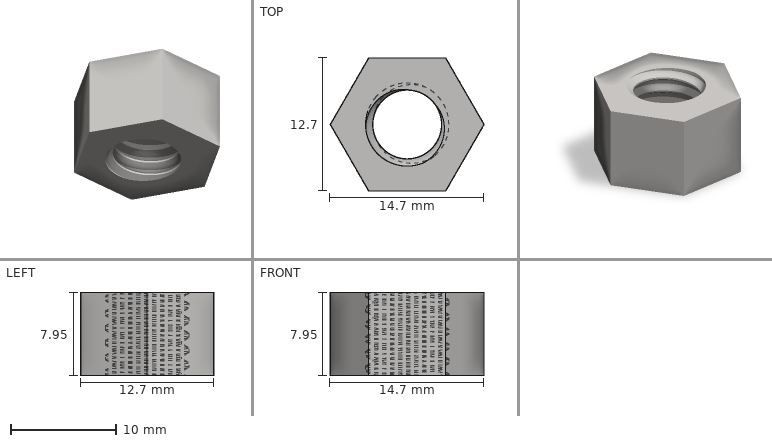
import cadquery as cq
import math

corner_width = 14.66
height = 7.95

minor_diameter = 6.54
major_diameter = 7.93
pitch = 1.41
crest_flat = pitch / 8
flank_slope = math.tan(math.radians(30))
top_crest_angle = 60.0

minor_radius = minor_diameter / 2
major_radius = major_diameter / 2


def make_thread_ridge(turns, top_turns):
    """Helical ridge whose crest passes the top face after top_turns turns."""
    wall_overlap = 0.15
    outer_radius = major_radius + wall_overlap
    half_crest = crest_flat / 2
    half_base = half_crest + (outer_radius - minor_radius) * flank_slope

    profile = (
        cq.Workplane("XZ")
        .moveTo(minor_radius, -half_crest)
        .lineTo(outer_radius, -half_base)
        .lineTo(outer_radius, half_base)
        .lineTo(minor_radius, half_crest)
        .close()
    )
    helix = cq.Workplane(cq.Wire.makeHelix(pitch, turns * pitch, minor_radius))
    ridge = profile.sweep(helix, isFrenet=True)
    start_height = height - top_turns * pitch
    return ridge.rotate((0, 0, 0), (0, 0, 1), top_crest_angle).translate((0, 0, start_height))


def make_threaded_core():
    """Major-diameter cylinder with the ridge cut away: the volume the hole removes."""
    overrun = 3 * pitch
    cylinder = (
        cq.Workplane("XY", origin=(0, 0, -overrun))
        .circle(major_radius)
        .extrude(height + 2 * overrun)
    )
    top_turns = math.ceil(height / pitch) + 1
    return cylinder.cut(make_thread_ridge(top_turns + 1, top_turns))


blank = cq.Workplane("XY").polygon(6, corner_width).extrude(height)
result = blank.cut(make_threaded_core())